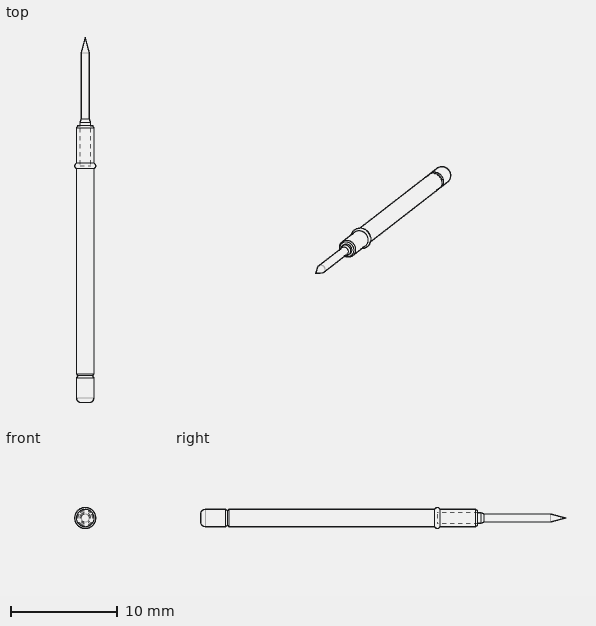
import cadquery as cq

total_length = 34.3
rear_y = -total_length / 2
tip_y = total_length / 2

barrel_radius = 0.82
barrel_length = 26.0
rear_round = 0.45
nose_length = 0.2
nose_depth = 0.1
bead_radius = 1.0
bead_arc_radius = 0.27
bead_from_front = 3.77
groove_depth = 0.15
groove_front_run = 0.15
groove_rear_run = 0.2
groove_from_rear = 2.55

needle_diameter = 0.8
needle_radius = needle_diameter / 2
tip_length = 1.47
shank_radius = 0.5
shank_protrusion = 0.3
shoulder_length = 0.3

barrel_front_y = rear_y + barrel_length
bead_y = barrel_front_y - bead_from_front
groove_y = rear_y + groove_from_rear
shank_front_y = barrel_front_y + shank_protrusion
bore_depth = bead_from_front
bore_floor_y = barrel_front_y - bore_depth


def revolve_around_y(profile):
    """Turn a closed half profile, drawn in the YZ plane, once around the Y axis."""
    return profile.close().revolve(360, (0, 0), (1, 0))


def make_rod():
    """Solid round rod with a rounded rear edge and a tapered nose at the front."""
    rod_profile = (
        cq.Workplane("YZ")
        .moveTo(rear_y, 0)
        .lineTo(rear_y, barrel_radius - rear_round)
        .radiusArc((rear_y + rear_round, barrel_radius), rear_round)
        .lineTo(barrel_front_y - nose_length, barrel_radius)
        .lineTo(barrel_front_y, barrel_radius - nose_depth)
        .lineTo(barrel_front_y, 0)
    )
    return revolve_around_y(rod_profile)


def make_groove():
    """Ring of triangular section that cuts a V groove, steeper on its front side, into the barrel."""
    groove_profile = (
        cq.Workplane("YZ")
        .moveTo(groove_y - groove_rear_run, barrel_radius)
        .lineTo(groove_y, barrel_radius - groove_depth)
        .lineTo(groove_y + groove_front_run, barrel_radius)
    )
    return revolve_around_y(groove_profile)


def make_bead():
    """Ring with a round rim, standing out from the barrel surface."""
    arc_center_radius = bead_radius - bead_arc_radius
    bead_profile = (
        cq.Workplane("YZ")
        .moveTo(bead_y - bead_arc_radius, 0)
        .lineTo(bead_y - bead_arc_radius, arc_center_radius)
        .threePointArc((bead_y, bead_radius), (bead_y + bead_arc_radius, arc_center_radius))
        .lineTo(bead_y + bead_arc_radius, 0)
    )
    return revolve_around_y(bead_profile)


def make_barrel():
    """Barrel closed at the rear, with a V groove, a bead and a bore for the plunger."""
    bore = (
        cq.Workplane("XZ", origin=(0, barrel_front_y, 0))
        .circle(shank_radius)
        .extrude(bore_depth)
    )
    return make_rod().union(make_bead()).cut(make_groove()).cut(bore)


def make_plunger():
    """Pointed needle with a conical shoulder up to the shank that fills the bore."""
    plunger_profile = (
        cq.Workplane("YZ")
        .moveTo(bore_floor_y, 0)
        .lineTo(bore_floor_y, shank_radius)
        .lineTo(shank_front_y, shank_radius)
        .lineTo(shank_front_y + shoulder_length, needle_radius)
        .lineTo(tip_y - tip_length, needle_radius)
        .lineTo(tip_y, 0)
    )
    return revolve_around_y(plunger_profile)


barrel = make_barrel()
plunger = make_plunger()

result = cq.Compound.makeCompound([barrel.val(), plunger.val()])